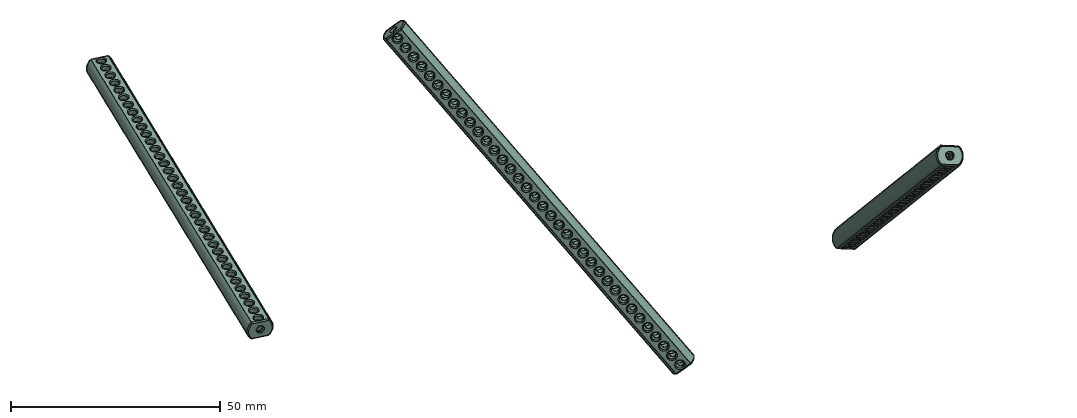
import cadquery as cq

length = 112.5
rod_diameter = 6.6
flat_height = 5.0
end_chamfer = 0.3
hole_count = 36
hole_diameter = 2.0
countersink_diameter = 2.6
bore_diameter = 2.0

hole_pitch = length / hole_count
countersink_depth = (countersink_diameter - hole_diameter) / 2


def flattened_rod():
    """Round rod along X with flats on top and bottom, chamfered around both ends."""
    rod = cq.Workplane("YZ").circle(rod_diameter / 2).extrude(length / 2, both=True)
    slab = cq.Workplane("XY").box(length, rod_diameter, flat_height)
    return rod.intersect(slab).faces("<X or >X").chamfer(end_chamfer)


def cross_holes(body):
    """Row of holes through both flats, countersunk at each flat."""
    hole_row = [(hole_pitch * (i - (hole_count - 1) / 2), 0) for i in range(hole_count)]
    half_profile = [
        (0, 0),
        (hole_diameter / 2, 0),
        (hole_diameter / 2, flat_height / 2 - countersink_depth),
        (countersink_diameter / 2, flat_height / 2),
        (0, flat_height / 2),
    ]
    half_cutter = cq.Workplane("XZ").polyline(half_profile).close().revolve(360, (0, 0), (0, 1))
    cutter = half_cutter.union(half_cutter.mirror("XY")).val()
    cutters = cq.Workplane("XY").pushPoints(hole_row).eachpoint(lambda spot: cutter.moved(spot))
    return body.cut(cutters)


def axial_bore(body):
    """Straight bore along the full length of the rod."""
    bore = cq.Workplane("YZ").circle(bore_diameter / 2).extrude(length / 2, both=True)
    return body.cut(bore)


result = axial_bore(cross_holes(flattened_rod()))